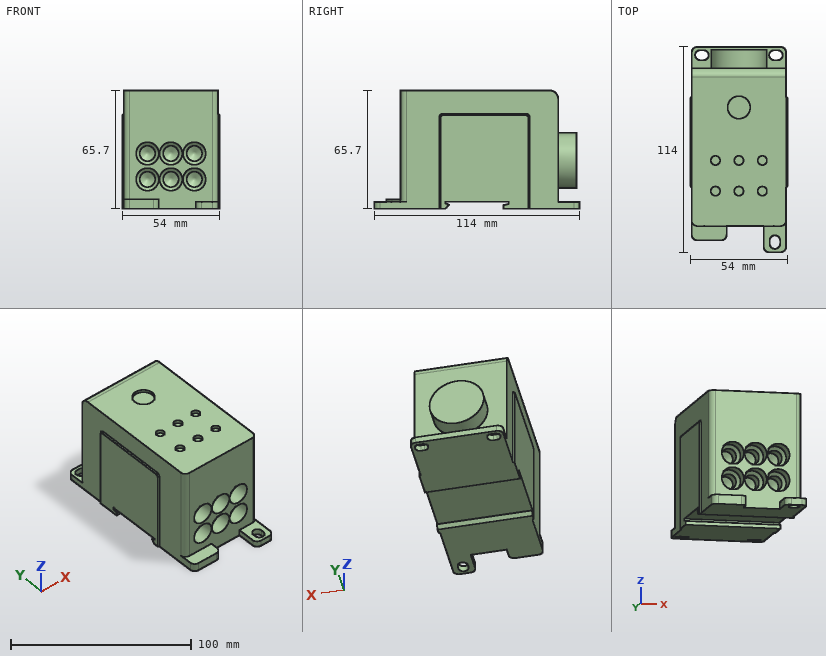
import cadquery as cq


body_width = 52.4
body_length = 87.5
body_height = 65.7
corner_radius = 3.2
top_rear_radius = 4.8

panel_thickness = 0.8
panel_front = 21.4
panel_rear = 71.7
panel_height = 52.7
panel_corner_radius = 2.2

flange_thickness = 3.9
flange_length = 11.9
left_foot_width = 19.5
left_foot_length = 8.0
left_foot_thickness = 5.2
right_foot_width = 12.5
right_foot_length = 14.6
rear_slot_length = 7.4
rear_slot_width = 5.4
rear_slot_side_margin = 5.7
rear_slot_end_margin = 4.7
foot_slot_length = 7.4
foot_slot_width = 5.7
foot_slot_reach = 8.9

boss_diameter = 30.8
boss_length = 10.1
boss_height = 26.9

column_pitch = 13.0
columns = [-column_pitch, 0, column_pitch]
small_recess_diameter = 5.1
small_recess_depth = 2.0
small_recess_rows = [19.4, 36.4]
large_recess_diameter = 12.5
large_recess_depth = 1.7
large_recess_y = 65.8

entry_diameter = 12.5
entry_bore_diameter = 8.5
entry_rows = [16.3, 30.7]
mouth_depth = 8.8
funnel_depth = 2.0
bore_end = small_recess_rows[0]
bore_tip_depth = 2.5

notch_depth = flange_thickness
notch_front = 25.0
notch_rear = 60.0
front_lip_y = 27.0
rear_lip_y = 57.1
front_lip_height = 2.3
front_undercut_height = 3.1
rear_lip_height = 2.0
rear_undercut_height = 2.7

half_width = body_width / 2


def block(x_min, x_max, y_min, y_max, height):
    """Box standing on the mounting plane."""
    size = (x_max - x_min, y_max - y_min, height)
    return cq.Workplane("XY").box(*size, centered=False).translate((x_min, y_min, 0))


def make_body():
    body = block(-half_width, half_width, 0, body_length, body_height)
    body = body.edges("|Z and <Y").fillet(corner_radius)
    return body.edges(">Y and >Z").fillet(top_rear_radius)


def make_side_panels():
    """Plate through the housing that stands out on both sides with bevelled edges."""
    panel_width = body_width + 2 * panel_thickness
    plate = block(-panel_width / 2, panel_width / 2, panel_front, panel_rear, panel_height)
    plate = plate.edges("|X and >Z").fillet(panel_corner_radius)
    bevelled_edges = plate.faces("<X or >X").edges("not <Z")
    return bevelled_edges.chamfer(panel_thickness)


def make_rear_flange():
    rear_end = body_length + flange_length
    flange = block(-half_width, half_width, body_length - corner_radius, rear_end, flange_thickness)
    flange = flange.edges("|Z and >Y").fillet(corner_radius)
    slot_x = half_width - rear_slot_side_margin
    slot_y = rear_end - rear_slot_end_margin
    slots = (
        cq.Workplane("XY")
        .pushPoints([(-slot_x, slot_y), (slot_x, slot_y)])
        .slot2D(rear_slot_length, rear_slot_width)
        .extrude(flange_thickness)
    )
    return flange.cut(slots)


def make_left_foot():
    inner_edge = left_foot_width - half_width
    foot = block(-half_width, inner_edge, -left_foot_length, corner_radius, left_foot_thickness)
    return foot.edges("|Z and <Y").fillet(corner_radius)


def make_right_foot():
    inner_edge = half_width - right_foot_width
    foot = block(inner_edge, half_width, -right_foot_length, corner_radius, flange_thickness)
    foot = foot.edges("|Z and <Y").fillet(corner_radius)
    slot = (
        cq.Workplane("XY")
        .center(half_width - right_foot_width / 2, -foot_slot_reach)
        .slot2D(foot_slot_length, foot_slot_width, 90)
        .extrude(flange_thickness)
    )
    return foot.cut(slot)


def make_boss():
    boss = cq.Workplane("XZ").circle(boss_diameter / 2).extrude(-boss_length)
    return boss.translate((0, body_length, boss_height))


def make_top_recesses():
    top = cq.Workplane("XY").workplane(offset=body_height)
    small_centres = [(x, y) for x in columns for y in small_recess_rows]
    small = top.pushPoints(small_centres).circle(small_recess_diameter / 2).extrude(-small_recess_depth)
    large = top.center(0, large_recess_y).circle(large_recess_diameter / 2).extrude(-large_recess_depth)
    return small.union(large)


def make_wire_entry():
    """Entry along +Y, revolved from its half profile of (radius, depth)."""
    funnel_end = mouth_depth + funnel_depth
    profile = [
        (0, 0),
        (entry_diameter / 2, 0),
        (entry_diameter / 2, mouth_depth),
        (entry_bore_diameter / 2, funnel_end),
        (entry_bore_diameter / 2, bore_end),
        (0, bore_end + bore_tip_depth),
    ]
    return cq.Workplane("XY").polyline(profile).close().revolve(360, (0, 0), (0, 1))


def make_rail_notch():
    """Undercut notch, hooked at the rear and with a sloped latch lip at the front."""
    profile = [
        (notch_front, 0),
        (front_lip_y, front_lip_height),
        (notch_front, front_undercut_height),
        (notch_front, notch_depth),
        (notch_rear, notch_depth),
        (notch_rear, rear_undercut_height),
        (rear_lip_y, rear_lip_height),
        (rear_lip_y, 0),
    ]
    return cq.Workplane("YZ").polyline(profile).close().extrude(body_width, both=True)


result = make_body()
for addition in (make_side_panels(), make_rear_flange(), make_left_foot(), make_right_foot(), make_boss()):
    result = result.union(addition)

result = result.cut(make_top_recesses()).cut(make_rail_notch())

wire_entry = make_wire_entry()
for x in columns:
    for z in entry_rows:
        result = result.cut(wire_entry.translate((x, 0, z)))